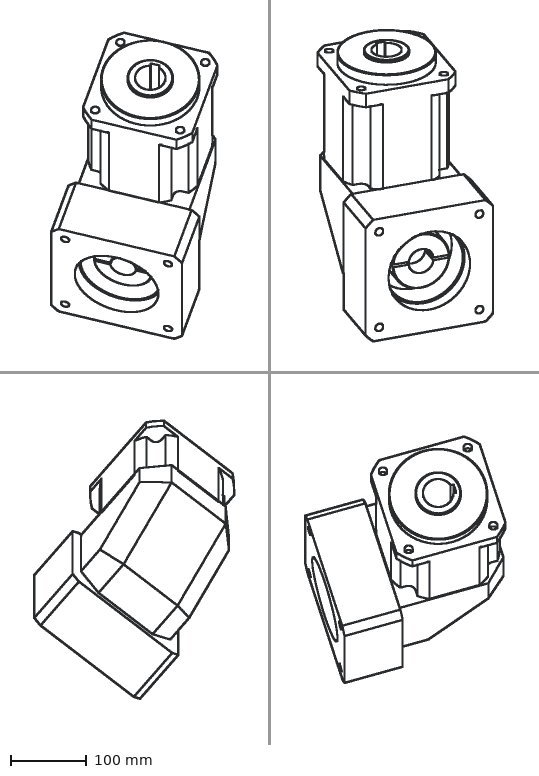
import cadquery as cq
import math


input_square = 180.0
input_length = 80.0
input_corner_diameter = 240.0
input_bolt_circle = 200.0
input_hole_diameter = 11.0
input_hole_depth = 30.0
drill_tip_angle = 118.0

housing_width = 152.0
housing_top = 88.0
housing_chamfer = 30.0
housing_bevel = 100.0

pilot_recess_diameter = 115.0
pilot_recess_depth = 20.0
clearance_diameter = 110.0
clearance_depth = 60.0
collar_diameter = 80.0
collar_setback = 30.0
collar_chamfer = 1.0
collar_bore = 35.0
collar_slot = 4.0

body_square = 150.0
body_corner_diameter = 165.0
body_height = 126.0
bolt_groove_radius = 9.7

flange_thickness = 20.0
flange_corner_diameter = 190.0
output_bolt_circle = 165.0
output_hole_diameter = 11.0
output_hole_depth = 15.0

pilot_diameter = 130.0
pilot_height = 15.0
pilot_chamfer = 1.0
hub_diameter = 60.0
hub_height = 3.4
hub_chamfer = 1.0
output_bore = 40.0
output_bore_depth = 120.0
key_width = 12.0
key_reach = 23.0

housing_front = -housing_width / 2
input_face = housing_front - input_length
housing_bottom = -housing_width / 2
body_top = housing_top + body_height
flange_top = body_top + flange_thickness
pilot_top = flange_top + pilot_height
hub_top = pilot_top + hub_height
recess_floor = input_face + clearance_depth
collar_face = input_face + collar_setback


def plane_z(level):
    """Horizontal sketch plane whose normal is +Z."""
    return cq.Workplane("XY", origin=(0, 0, level))


def plane_y(level):
    """Sketch plane across the input axis, extruding toward +Y."""
    return cq.Workplane(cq.Plane(origin=(0, level, 0), xDir=(1, 0, 0), normal=(0, 1, 0)))


def rounded_square(plane, side, corner_diameter, length):
    """Square bar whose corners are turned to a diameter."""
    bar = plane.rect(side, side).extrude(length)
    return bar.intersect(plane.circle(corner_diameter / 2).extrude(length))


def bolt_points(bolt_circle):
    """Four points on the diagonals of a bolt circle."""
    offset = bolt_circle / 2 * math.sqrt(0.5)
    return [(sx * offset, sy * offset) for sx in (-1, 1) for sy in (-1, 1)]


def make_housing():
    """Elbow block with a 45 degree outer corner and chamfered outer edges."""
    half = housing_width / 2
    profile = [
        (housing_front, housing_top),
        (half, housing_top),
        (half, housing_bottom + housing_bevel),
        (half - housing_bevel, housing_bottom),
        (housing_front, housing_bottom),
    ]
    block = cq.Workplane("YZ", origin=(-half, 0, 0)).polyline(profile).close().extrude(housing_width)
    outer_faces = block.faces(">Y or <Z or >(0, 1, -1)")
    side_edges = outer_faces.edges("(<X or >X)")
    return side_edges.chamfer(housing_chamfer)


def make_input_block():
    """Thick flange around the input axis."""
    return rounded_square(plane_y(input_face), input_square, input_corner_diameter, input_length)


def cut_input_holes(part):
    """Blind drilled holes with conical tips."""
    radius = input_hole_diameter / 2
    tip_length = radius / math.tan(math.radians(drill_tip_angle / 2))
    for x, z in bolt_points(input_bolt_circle):
        start = cq.Vector(x, input_face, z)
        bottom = cq.Vector(x, input_face + input_hole_depth, z)
        along = cq.Vector(0, 1, 0)
        part = part.cut(cq.Solid.makeCylinder(radius, input_hole_depth, start, along))
        part = part.cut(cq.Solid.makeCone(radius, 0, tip_length, bottom, along))
    return part


def cut_input_recess(part):
    """Pilot recess with a slightly narrower clearance bore behind it."""
    part = part.cut(plane_y(input_face).circle(pilot_recess_diameter / 2).extrude(pilot_recess_depth))
    return part.cut(plane_y(input_face).circle(clearance_diameter / 2).extrude(clearance_depth))


def make_collar():
    """Clamping collar with a central bore and a slot across its diameter."""
    length = recess_floor - collar_face
    collar = plane_y(collar_face).circle(collar_diameter / 2).extrude(length)
    collar = collar.faces("<Y").edges().chamfer(collar_chamfer)
    collar = collar.cut(plane_y(collar_face).circle(collar_bore / 2).extrude(length))
    return collar.cut(plane_y(collar_face).rect(collar_diameter, collar_slot).extrude(length))


def make_output_body():
    """Body with turned corners and a bolt groove at each corner."""
    body = rounded_square(plane_z(housing_top), body_square, body_corner_diameter, body_height)
    groove_size = body_square / 2
    center_shift = groove_size / 2 - bolt_groove_radius
    for x, y in bolt_points(output_bolt_circle):
        corner_x = x + math.copysign(center_shift, x)
        corner_y = y + math.copysign(center_shift, y)
        groove = plane_z(housing_top).center(corner_x, corner_y).rect(groove_size, groove_size)
        groove = groove.extrude(body_height)
        body = body.cut(groove.edges("|Z").fillet(bolt_groove_radius))
    return body


def make_output_flange():
    """Turned-corner flange with blind bolt holes in its top face."""
    flange = rounded_square(plane_z(body_top), body_square, flange_corner_diameter, flange_thickness)
    holes = plane_z(flange_top - output_hole_depth).pushPoints(bolt_points(output_bolt_circle))
    return flange.cut(holes.circle(output_hole_diameter / 2).extrude(output_hole_depth))


def make_boss(base, diameter, height, chamfer):
    """Round boss on the Z axis with a chamfered top edge."""
    boss = plane_z(base).circle(diameter / 2).extrude(height)
    return boss.faces(">Z").edges().chamfer(chamfer)


def cut_output_bore(part):
    """Round bore with a keyway on its +Y side."""
    floor = plane_z(hub_top - output_bore_depth)
    part = part.cut(floor.circle(output_bore / 2).extrude(output_bore_depth))
    keyway = floor.center(0, key_reach / 2).rect(key_width, key_reach).extrude(output_bore_depth)
    return part.cut(keyway)


part = make_housing().union(make_input_block())
part = cut_input_holes(part)
part = cut_input_recess(part)
part = part.union(make_collar())
part = part.union(make_output_body())
part = part.union(make_output_flange())
part = part.union(make_boss(flange_top, pilot_diameter, pilot_height, pilot_chamfer))
part = part.union(make_boss(pilot_top, hub_diameter, hub_height, hub_chamfer))
result = cut_output_bore(part)